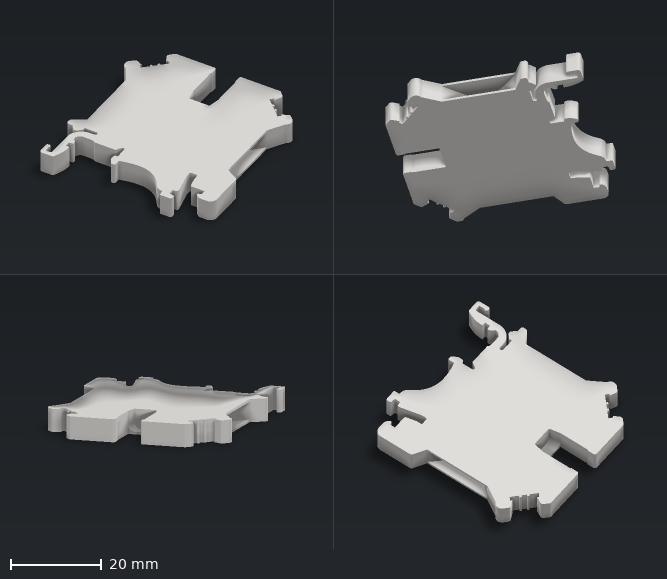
import cadquery as cq
import math

WIDTH = 42.65
LENGTH = 46.0
THICKNESS = 5.2

SIDE = WIDTH / 2
TOP = LENGTH / 2
BOTTOM = -LENGTH / 2
FACE = THICKNESS / 2

FLANK_X = 18.05
FLANK_TOP = 9.1
FLANK_BOTTOM = -7.55

SLOT_HALF_WIDTH = 3.17
SLOT_MOUTH_HALF_WIDTH = 3.0
SLOT_MOUTH_BOTTOM = 20.9
SLOT_THROUGH_END = 13.25
SLOT_END = 10.5
SLOT_END_HALF_WIDTH = 2.6
SLOT_LEDGE_THICKNESS = 0.6
SLOT_LEDGE_FILLET = 1.6
MOUTH_RADIUS = 0.55

GROOVE_INNER = (-12.75, 19.27)
GROOVE_OUTER = (-17.5, 14.75)
RIB_PITCH = 1.75
RIB_WIDTH = 0.5
RIB_HEIGHT = 0.45

FUNNEL_WALL = 0.6
FUNNEL_SHOULDER_DEPTH = 5.15
FUNNEL_DEPTH = 6.2
FUNNEL_UPPER_SHOULDER_Y = 3.5
FUNNEL_UPPER_END_Y = 3.35
FUNNEL_LOWER_END_Y = -0.75
FUNNEL_FLOOR_RISE = 0.9
FUNNEL_ROOF_DROP = 0.2

CLIP_OUTER_X = -18.7
CLIP_BEND_RADIUS = 3.7
ARCH_CROWN_Y = -16.3
ARCH_LEFT_RADIUS = 17.0
ARCH_RIGHT_RADIUS = 7.5
ARCH_BLEND_RADIUS = 2.05


def rounded_outline(corners):
    """Closed wire through (x, y) or (x, y, radius) corners, each radius becoming a tangent arc."""
    count = len(corners)
    path = None
    for i, corner in enumerate(corners):
        here = cq.Vector(corner[0], corner[1])
        radius = corner[2] if len(corner) > 2 else 0
        before = corners[i - 1]
        after = corners[(i + 1) % count]
        back = (cq.Vector(before[0], before[1]) - here).normalized()
        ahead = (cq.Vector(after[0], after[1]) - here).normalized()
        half_angle = back.getAngle(ahead) / 2
        setback = radius / math.tan(half_angle)
        start = here + back * setback
        if path is None:
            path = cq.Workplane("XY").moveTo(start.x, start.y)
        else:
            path = path.lineTo(start.x, start.y)
        if radius > 0:
            end = here + ahead * setback
            bisector = (back + ahead).normalized()
            middle = here + bisector * (radius / math.sin(half_angle) - radius)
            path = path.threePointArc((middle.x, middle.y), (end.x, end.y))
    return path.close()


def mirrored(corners):
    """Corners reflected in the YZ plane, in reverse order so the outline keeps its direction."""
    return [(-corner[0], *corner[1:]) for corner in reversed(corners)]


def prism(outline, bottom=-FACE, top=FACE):
    return outline.extrude(top - bottom).translate((0, 0, bottom))


LEFT_HEAD = [
    (-SLOT_HALF_WIDTH, SLOT_THROUGH_END),
    (-SLOT_HALF_WIDTH, SLOT_MOUTH_BOTTOM),
    (-SLOT_MOUTH_HALF_WIDTH, SLOT_MOUTH_BOTTOM),
    (-SLOT_MOUTH_HALF_WIDTH, TOP, MOUTH_RADIUS),
    (-13.45, TOP, 0.45),
    (-14.9, 21.55, 0.75),
    (-13.9, 19.65),
    (-13.55, 19.95),
    GROOVE_INNER,
    GROOVE_OUTER,
    (-18.2, 15.45),
    (-17.8, 15.75),
    (-19.7, 16.6, 0.55),
    (-SIDE, 15.1, 1.4),
    (-SIDE, 13.75, 1.4),
    (-20.45, 13.1),
    (-FLANK_X, FLANK_TOP),
]

LEFT_HORN = [
    (-FLANK_X, FLANK_BOTTOM),
    (-SIDE, -9.48, 0.9),
    (-SIDE, -11.0, 0.6),
    (-19.7, -11.0),
    (-19.6, -11.3),
    (-18.65, -12.3),
    (-18.1, -12.3),
    (-16.97, -11.22),
    (-16.97, -10.5),
]

SPRING_CLIP = [
    (-13.45, -10.5, 0.45),
    (-13.45, -11.45, 0.45),
    (CLIP_OUTER_X, -11.45, CLIP_BEND_RADIUS),
    (CLIP_OUTER_X, -21.95, 0.35),
    (-20.25, -21.95, 0.35),
    (-20.25, -20.55),
    (-20.0, -20.35, 0.2),
    (-20.0, -19.65, 0.5),
    (-21.2, -19.65, 0.5),
    (-21.2, BOTTOM, 0.7),
    (-17.65, BOTTOM, 0.45),
    (-16.35, -20.05, 7.8),
    (-16.35, -18.12),
    (-17.3, -18.12),
    (-17.3, -16.85),
    (-16.2, -16.65),
    (-16.2, -15.9),
    (-17.0, -15.1, 0.25),
    (-17.0, -13.45, 1.45),
    (-13.65, -13.45),
    (-12.75, -13.55),
    (-12.4, -13.9),
]

RAIL_HOOK = [
    (-7.05, -13.9),
    (-6.1, -12.4, 0.4),
    (-5.45, -12.4, 0.4),
    (-5.45, -15.65),
    (-6.25, -15.65, 0.55),
    (-6.25, -17.15, 1.4),
    (-5.45, -18.68, 0.55),
    (-4.4, -18.68, 0.4),
    (-4.4, -16.97, 0.15),
]

ARCH_AND_LEG = [
    (-1.85, ARCH_CROWN_Y, ARCH_LEFT_RADIUS),
    (4.45, ARCH_CROWN_Y, ARCH_RIGHT_RADIUS),
    (8.2, -21.55, ARCH_BLEND_RADIUS),
    (9.55, -21.55, 0.3),
    (9.55, BOTTOM, 0.28),
    (12.6, BOTTOM, 0.45),
    (12.6, -21.7),
    (11.25, -21.55),
    (11.25, -20.1),
    (12.4, -19.9),
    (12.4, -19.2),
    (11.25, -14.0),
    (11.25, -12.6, 0.35),
]

RIGHT_FOOT = [
    (13.25, -12.6, 0.35),
    (13.25, -14.0),
    (13.85, -16.85, 0.45),
    (17.5, -16.85),
    (17.5, -18.12),
    (16.65, -18.35),
    (16.65, -18.75, 0.55),
    (17.55, -19.65, 1.4),
    (SIDE, -19.65, 1.65),
    (SIDE, -9.48, 0.7),
    (FLANK_X, FLANK_BOTTOM),
]


def make_plate():
    foot = LEFT_HORN + SPRING_CLIP + RAIL_HOOK + ARCH_AND_LEG + RIGHT_FOOT
    return prism(rounded_outline(LEFT_HEAD + foot + mirrored(LEFT_HEAD)))


def make_slot_end():
    """Tapered blind end of the slot, rounded along its two lower side edges."""
    end_outline = cq.Workplane("XY").polyline([
        (-SLOT_HALF_WIDTH, SLOT_THROUGH_END),
        (-SLOT_END_HALF_WIDTH, SLOT_END),
        (SLOT_END_HALF_WIDTH, SLOT_END),
        (SLOT_HALF_WIDTH, SLOT_THROUGH_END),
    ]).close()
    blind_end = prism(end_outline, bottom=-FACE + SLOT_LEDGE_THICKNESS)
    return blind_end.faces("<Z").edges("not |X").fillet(SLOT_LEDGE_FILLET)


def make_groove_ribs():
    """Two ribs standing square to the floor of the left marker groove."""
    middle_x = (GROOVE_INNER[0] + GROOVE_OUTER[0]) / 2
    middle_y = (GROOVE_INNER[1] + GROOVE_OUTER[1]) / 2
    run = GROOVE_INNER[0] - GROOVE_OUTER[0]
    rise = GROOVE_INNER[1] - GROOVE_OUTER[1]
    slope = math.degrees(math.atan2(rise, run))
    ribs = cq.Workplane("XY").pushPoints([(-RIB_PITCH / 2, 0), (RIB_PITCH / 2, 0)])
    ribs = ribs.box(RIB_WIDTH, 2 * RIB_HEIGHT, THICKNESS)
    return ribs.rotate((0, 0, 0), (0, 0, 1), slope).translate((middle_x, middle_y, 0))


def make_funnel():
    """Left wire funnel: its plan taper intersected with its tapering height."""
    shoulder_x = -FLANK_X + FUNNEL_SHOULDER_DEPTH
    end_x = -FLANK_X + FUNNEL_DEPTH
    mouth_z = FACE - FUNNEL_WALL
    plan = cq.Workplane("XY").polyline([
        (-FLANK_X, FLANK_TOP),
        (-FLANK_X, FLANK_BOTTOM),
        (end_x, FUNNEL_LOWER_END_Y),
        (end_x, FUNNEL_UPPER_END_Y),
        (shoulder_x, FUNNEL_UPPER_SHOULDER_Y),
    ]).close()
    height = cq.Workplane("XZ").polyline([
        (-FLANK_X, mouth_z),
        (-FLANK_X, -mouth_z),
        (shoulder_x, -mouth_z),
        (end_x, -mouth_z + FUNNEL_FLOOR_RISE),
        (end_x, mouth_z - FUNNEL_ROOF_DROP),
        (shoulder_x, mouth_z),
    ]).close().extrude(TOP, both=True)
    return prism(plan).intersect(height)


ribs = make_groove_ribs()
funnel = make_funnel()

plate = make_plate().cut(make_slot_end())
plate = plate.union(ribs).union(ribs.mirror("YZ"))
result = plate.cut(funnel).cut(funnel.mirror("YZ"))